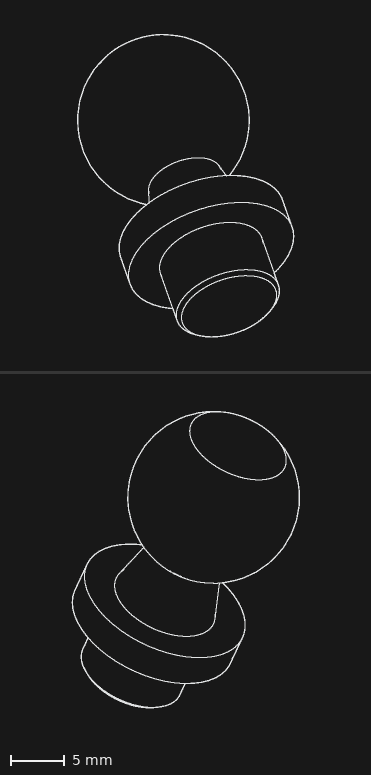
import cadquery as cq
import math

total_length = 28.4
ball_diameter = 16.0
ball_flat_diameter = 9.6
neck_diameter = 7.01
flange_diameter = ball_diameter
flange_thickness = 3.2
shank_diameter = 10.0
shank_length = 6.0
shank_chamfer = 0.4

ball_radius = ball_diameter / 2
flat_radius = ball_flat_diameter / 2
neck_radius = neck_diameter / 2
flange_radius = flange_diameter / 2
shank_radius = shank_diameter / 2

ball_center_x = math.sqrt(ball_radius**2 - flat_radius**2)
neck_start_x = ball_center_x + math.sqrt(ball_radius**2 - neck_radius**2)
flange_back_x = total_length - shank_length
flange_front_x = flange_back_x - flange_thickness

profile = (
    cq.Workplane("XY")
    .moveTo(0, 0)
    .lineTo(0, flat_radius)
    .threePointArc((ball_center_x, ball_radius), (neck_start_x, neck_radius))
    .lineTo(flange_front_x, shank_radius)
    .lineTo(flange_front_x, flange_radius)
    .lineTo(flange_back_x, flange_radius)
    .lineTo(flange_back_x, shank_radius)
    .lineTo(total_length - shank_chamfer, shank_radius)
    .lineTo(total_length, shank_radius - shank_chamfer)
    .lineTo(total_length, 0)
    .close()
)

result = profile.revolve(360, (0, 0, 0), (1, 0, 0))